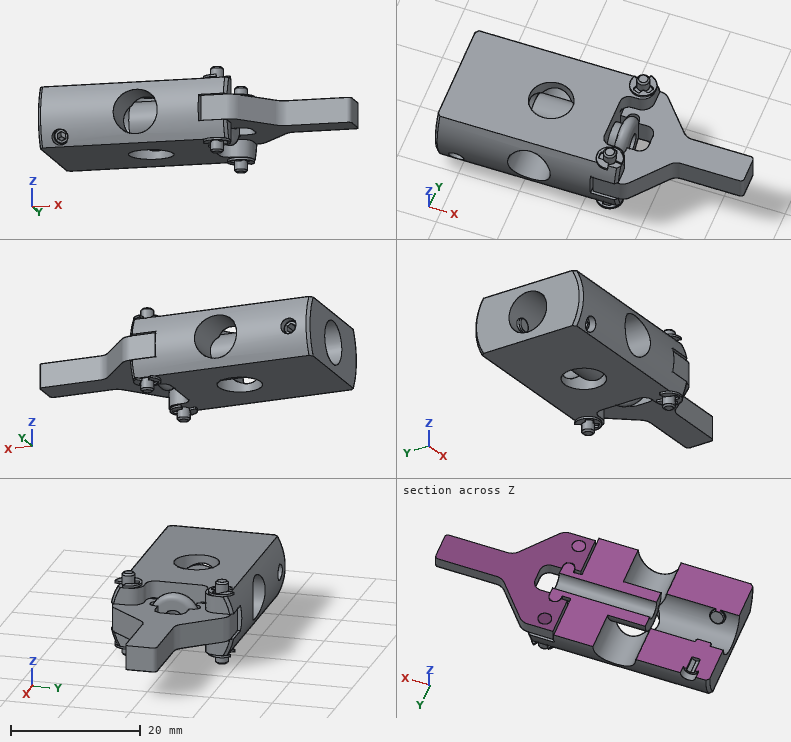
import cadquery as cq
import math

TOTAL_LENGTH = 48.0
BAR_DIAMETER = 20.0
HOUSING_LENGTH = 30.0
HOUSING_HEIGHT = 9.65
END_CHAMFER = 0.5

BORE_DIAMETER = 7.0
CROSS_HOLE_X = 15.55

FORK_START_X = 25.6
SLOT_HEIGHT = 4.15
NOTCH_HALF_WIDTH = 4.95
NOTCH_FILLET = 1.5
EAR_FILLET = 2.0

STEM_START_X = 12.85
STEM_HOLE_DIAMETER = 3.0
NECK_DIAMETER = 5.0
HEAD_DIAMETER = 7.95
HEAD_THICKNESS = 2.0

SCREW_X = 3.4
SCREW_DIAMETER = 2.5
SCREW_TIP_RADIUS = 2.9
SCREW_LENGTH = 6.0
SCREW_CHAMFER = 0.2
SOCKET_WIDTH = 1.3
SOCKET_DEPTH = 2.4
SCREW_ANGLES = (0, 200)

PIN_X = 27.95
PIN_Y = 7.5
PIN_DIAMETER = 2.0
PIN_LENGTH = 13.4
PIN_CHAMFER = 0.3
CLIP_RADIUS = 2.1
CLIP_THICKNESS = 0.35
CLIP_MOUTH_ANGLE = 70
LOBE_WIDTH = 1.3
LOBE_REACH = 1.7
LOBE_FILLET = 0.3
LOBE_TURN = 135

TONGUE_THICKNESS = 3.95
TONGUE_START_X = 25.85
TONGUE_HALF_WIDTH = 9.4
SHOULDER_X = 31.0
STEM_ROOT_X = 36.85
TAPER_FILLET = 2.0
HANDLE_WIDTH = 5.0
HANDLE_TIP_FILLET = 0.6
MOUTH_WIDTH = 5.95
WINDOW_END_X = 31.9
WINDOW_FILLET = 1.5


def x_cylinder(diameter, start_x, end_x):
    """Cylinder on the X axis."""
    return cq.Workplane("YZ", origin=(start_x, 0, 0)).circle(diameter / 2).extrude(end_x - start_x)


def block(start, end):
    """Box between two opposite corners."""
    size = [b - a for a, b in zip(start, end)]
    return cq.Workplane("XY").box(*size, centered=False).translate(start)


def housing_block():
    bar = x_cylinder(BAR_DIAMETER, 0, HOUSING_LENGTH).faces("<X or >X").chamfer(END_CHAMFER)
    flats = cq.Workplane("XY").box(3 * HOUSING_LENGTH, BAR_DIAMETER, HOUSING_HEIGHT)
    return bar.intersect(flats)


def fork_notch():
    """Central notch through both fork plates, leaving two rounded ears."""
    past_end = HOUSING_LENGTH + 0.5
    notch = block(
        (FORK_START_X, -NOTCH_HALF_WIDTH, -HOUSING_HEIGHT),
        (past_end, NOTCH_HALF_WIDTH, HOUSING_HEIGHT),
    ).edges("|Z and <X").fillet(NOTCH_FILLET)
    for side in (1, -1):
        center_x = HOUSING_LENGTH - EAR_FILLET
        center_y = side * (NOTCH_HALF_WIDTH + EAR_FILLET)
        corner = block(
            (center_x, min(side * NOTCH_HALF_WIDTH, center_y), -HOUSING_HEIGHT),
            (past_end, max(side * NOTCH_HALF_WIDTH, center_y), HOUSING_HEIGHT),
        )
        ear = (
            cq.Workplane("XY", origin=(center_x, center_y, -HOUSING_HEIGHT))
            .circle(EAR_FILLET)
            .extrude(2 * HOUSING_HEIGHT)
        )
        beyond_end = block(
            (HOUSING_LENGTH, -BAR_DIAMETER, -HOUSING_HEIGHT),
            (past_end, BAR_DIAMETER, HOUSING_HEIGHT),
        )
        notch = notch.union(corner.cut(ear).cut(beyond_end))
    return notch


def pin_holes():
    return (
        cq.Workplane("XY", origin=(0, 0, -PIN_LENGTH / 2))
        .pushPoints([(PIN_X, PIN_Y), (PIN_X, -PIN_Y)])
        .circle(PIN_DIAMETER / 2)
        .extrude(PIN_LENGTH)
    )


def swivel_stem():
    body = x_cylinder(BORE_DIAMETER, STEM_START_X, FORK_START_X)
    neck = x_cylinder(NECK_DIAMETER, FORK_START_X, PIN_X)
    edge_radius = HEAD_THICKNESS / 2
    rim_radius = HEAD_DIAMETER / 2 - edge_radius
    head = (
        cq.Workplane("XY")
        .moveTo(PIN_X - edge_radius, 0)
        .lineTo(PIN_X - edge_radius, rim_radius)
        .threePointArc((PIN_X, HEAD_DIAMETER / 2), (PIN_X + edge_radius, rim_radius))
        .lineTo(PIN_X + edge_radius, 0)
        .close()
        .revolve(360, (0, 0, 0), (1, 0, 0))
    )
    hole = x_cylinder(STEM_HOLE_DIAMETER, STEM_START_X, TOTAL_LENGTH)
    return body.union(neck).union(head).cut(hole)


def radial(shape, angle):
    """Turn a shape built along +Y about the X axis."""
    return shape.rotate((0, 0, 0), (1, 0, 0), angle)


def screw_hole(angle):
    hole = cq.Workplane("XZ", origin=(SCREW_X, 0, 0)).circle(SCREW_DIAMETER / 2).extrude(-BAR_DIAMETER)
    return radial(hole, angle)


def set_screw(angle):
    outer_end = SCREW_TIP_RADIUS + SCREW_LENGTH
    screw = (
        cq.Workplane("XZ", origin=(SCREW_X, SCREW_TIP_RADIUS, 0))
        .circle(SCREW_DIAMETER / 2)
        .extrude(-SCREW_LENGTH)
        .faces("<Y or >Y")
        .chamfer(SCREW_CHAMFER)
    )
    corner_width = SOCKET_WIDTH / math.cos(math.pi / 6)
    socket = (
        cq.Workplane("XZ", origin=(SCREW_X, outer_end, 0))
        .transformed(rotate=(0, 0, 90))
        .polygon(6, corner_width)
        .extrude(SOCKET_DEPTH)
    )
    return radial(screw.cut(socket), angle)


def make_housing():
    body = housing_block().cut(x_cylinder(BORE_DIAMETER, 0, FORK_START_X))
    for plane in ("XY", "XZ"):
        cross_hole = (
            cq.Workplane(plane)
            .center(CROSS_HOLE_X, 0)
            .circle(BORE_DIAMETER / 2)
            .extrude(BAR_DIAMETER, both=True)
        )
        body = body.cut(cross_hole)
    slot = block(
        (FORK_START_X, -BAR_DIAMETER, -SLOT_HEIGHT / 2),
        (TOTAL_LENGTH, BAR_DIAMETER, SLOT_HEIGHT / 2),
    )
    body = body.cut(slot).cut(fork_notch()).cut(pin_holes())
    body = body.union(swivel_stem())
    for angle in SCREW_ANGLES:
        body = body.cut(screw_hole(angle)).union(set_screw(angle))
    return body.solids()


def make_tongue():
    handle = HANDLE_WIDTH / 2
    outline = [
        (TONGUE_START_X, TONGUE_HALF_WIDTH),
        (SHOULDER_X, TONGUE_HALF_WIDTH),
        (STEM_ROOT_X, handle),
        (TOTAL_LENGTH, handle),
    ]
    mirrored = [(x, -y) for x, y in reversed(outline)]
    bottom = -TONGUE_THICKNESS / 2
    top = TONGUE_THICKNESS / 2
    plate = (
        cq.Workplane("XY", origin=(0, 0, bottom))
        .polyline(outline + mirrored)
        .close()
        .extrude(TONGUE_THICKNESS)
    )
    plate = plate.edges("|Z and >X").fillet(HANDLE_TIP_FILLET)
    taper_span = cq.selectors.BoxSelector(
        (SHOULDER_X - 0.5, -BAR_DIAMETER, bottom - 0.5), (STEM_ROOT_X + 0.5, BAR_DIAMETER, top + 0.5)
    )
    plate = plate.edges("|Z").edges(taper_span).fillet(TAPER_FILLET)

    mouth = block((TONGUE_START_X, -MOUTH_WIDTH / 2, bottom), (PIN_X, MOUTH_WIDTH / 2, top))
    window = block((PIN_X, -handle, bottom), (WINDOW_END_X, handle, top))
    window = window.edges("|Z and >X").fillet(WINDOW_FILLET)
    head_pocket = (
        cq.Workplane("XY", origin=(PIN_X, 0, bottom))
        .slot2D(HEAD_DIAMETER, HEAD_THICKNESS, 90)
        .extrude(TONGUE_THICKNESS)
    )
    plate = plate.cut(mouth).cut(window).cut(head_pocket).cut(pin_holes())
    return plate.solids()


def retaining_clip(mouth_direction):
    """E-shaped clip lying on z = 0, open towards mouth_direction (degrees from +X)."""
    clip = cq.Workplane("XY").circle(CLIP_RADIUS).extrude(CLIP_THICKNESS)
    far = 2 * CLIP_RADIUS
    spread = far * math.tan(math.radians(CLIP_MOUTH_ANGLE / 2))
    mouth = (
        cq.Workplane("XY")
        .polyline([(0, 0), (far, -spread), (far, spread)])
        .close()
        .extrude(CLIP_THICKNESS)
    )
    clip = clip.cut(mouth)
    for turn in (LOBE_TURN, -LOBE_TURN):
        lobe = block((0, -LOBE_WIDTH / 2, 0), (LOBE_REACH, LOBE_WIDTH / 2, CLIP_THICKNESS))
        lobe = lobe.edges("|Z and >X").fillet(LOBE_FILLET)
        clip = clip.cut(lobe.rotate((0, 0, 0), (0, 0, 1), turn))
    return clip.rotate((0, 0, 0), (0, 0, 1), mouth_direction)


def make_pin(y, top_mouth, bottom_mouth):
    """Hinge pin carrying one clip against each flat of the housing."""
    pin = (
        cq.Workplane("XY", origin=(0, 0, -PIN_LENGTH / 2))
        .circle(PIN_DIAMETER / 2)
        .extrude(PIN_LENGTH)
        .faces("<Z or >Z")
        .chamfer(PIN_CHAMFER)
    )
    flat = HOUSING_HEIGHT / 2
    pin = pin.union(retaining_clip(top_mouth).translate((0, 0, flat)))
    pin = pin.union(retaining_clip(bottom_mouth).translate((0, 0, -flat - CLIP_THICKNESS)))
    return pin.translate((PIN_X, y, 0)).solids()


PIN_SETTINGS = [(PIN_Y, 112, 90), (-PIN_Y, -45, 135)]

housing = make_housing()
tongue = make_tongue()
pins = [make_pin(*setting) for setting in PIN_SETTINGS]

result = cq.Compound.makeCompound([housing.val(), tongue.val(), *[pin.val() for pin in pins]])